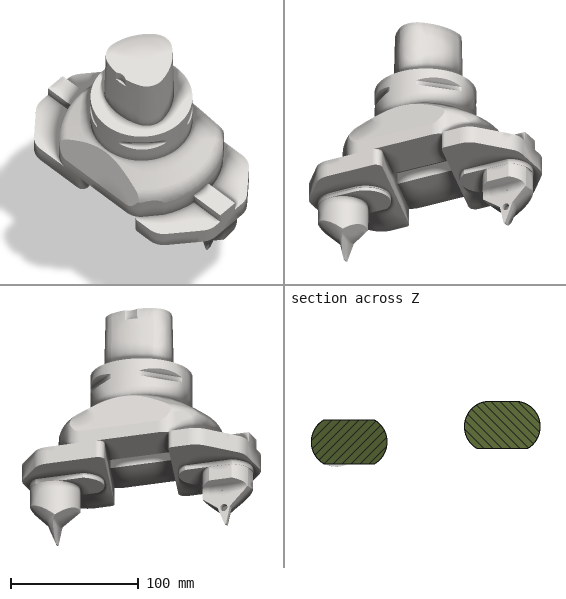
import cadquery as cq
import math


shank_length = 48.0
lobe_centre = 13.5
lobe_radius = 16.1
flank_centre = 22.0
flank_radius = lobe_radius + math.sqrt(lobe_centre**2 + flank_centre**2 + lobe_centre * flank_centre)
lobe_angles = (-30, 90, 210)
lobe_spacing = 120
shank_draft = math.degrees(math.atan(1 / 40))
shank_notch_radius = 8.0
shank_notch_depth = 2.0
shank_notch_height = 8.2

flange_radius = 40.0
flange_bottom = -30.3
gripper_level = -11.95
gripper_floor = 35.4
gripper_floor_height = 3.6
gripper_wall_angle = 30.0
gripper_first_angle = 45.0
gripper_count = 4

head_radius = 65.0
head_bottom = -70.0
head_half_width = 52.0
cone_angle = 35.0
cone_rounding = 14.0
corner_start = 40.3
corner_angle = 50.0
corner_rounding = 16.0
side_slope_top = -60.2
side_slope_angle = 20.0

key_half_width = 8.4
keyway_top = -60.6
key_top = -61.9
slide_bottom = -84.0
overall_length = 185.45
slide_end = overall_length / 2
slide_front_corner = 65.4
slide_back_corner = 67.4
slide_inner_front = 41.2
slide_inner_back = 12.4
slide_front_rounding = 4.3
slide_back_rounding = 5.5

foot_bottom = -88.0
foot_radius = 20.05
foot_inner_x = 50.2
foot_front = -11.5
shim_height = 1.1
shim_shift = 0.3
foot_trimmed_back = 23.4
barrel_radius = 19.75
barrel_x = 69.87
barrel_y = 6.0
barrel_front = -11.3
barrel_outer = 88.8
barrel_inner = barrel_x - barrel_radius
gullet_top = -99.4
gullet_angle = 15.0
gullet_rounding = 5.0
shoulder_inner_angle = 35.0
shoulder_outer_angle = 45.0
shimmed_inner_shoulder = -109.4
shimmed_outer_shoulder = -103.4
plain_inner_shoulder = -107.0
plain_outer_shoulder = -104.7
root_rounding = 4.0
relief_radius = 21.5

insert_circle = 9.525
insert_half_angle = 17.5
insert_lean = 5.0
insert_nose = 0.8
insert_thickness = 4.8
insert_clearance = 5.0
insert_hole = 5.9
support_inset = 0.35
tip_x = barrel_x
overall_height = 181.02
tip_bottom = shank_length - overall_height

reach = 200.0


def tan_deg(angle):
    return math.tan(math.radians(angle))


def polar(radius, angle):
    return cq.Vector(radius * math.cos(math.radians(angle)), radius * math.sin(math.radians(angle)))


def nearest_edge(x, y, z):
    return cq.selectors.NearestToPointSelector((x, y, z))


def four_corners(x, y):
    return [(x, y), (-x, y), (-x, -y), (x, -y)]


def round_upright_edge(solid, x, y, radius):
    """Fillet the vertical edge that stands nearest to (x, y)."""
    mid_z = solid.val().BoundingBox().center.z
    return solid.edges("|Z").edges(nearest_edge(x, y, mid_z)).fillet(radius)



def make_shank():
    centre_line = polar(lobe_centre, 0) + polar(flank_centre, lobe_spacing / 2)
    lobe_half_turn = math.degrees(math.atan2(centre_line.y, centre_line.x))
    outline = None
    for lobe_angle in lobe_angles:
        centre = polar(lobe_centre, lobe_angle)
        start, middle, end = [
            (centre + polar(lobe_radius, lobe_angle + turn)).toTuple()[:2]
            for turn in (-lobe_half_turn, 0, lobe_half_turn)
        ]
        flank_angle = lobe_angle + lobe_spacing / 2
        flank_middle = polar(flank_radius - flank_centre, flank_angle).toTuple()[:2]
        next_lobe = lobe_angle + lobe_spacing
        next_start = (
            polar(lobe_centre, next_lobe) + polar(lobe_radius, next_lobe - lobe_half_turn)
        ).toTuple()[:2]
        if outline is None:
            outline = cq.Workplane("XY").moveTo(*start)
        outline = outline.threePointArc(middle, end).threePointArc(flank_middle, next_start)
    shank = outline.close().extrude(shank_length, taper=shank_draft)

    top_flat = flank_radius - flank_centre - shank_length * tan_deg(shank_draft)
    notch = (
        cq.Workplane("XY", origin=(0, shank_notch_depth - top_flat - shank_notch_radius, shank_length))
        .circle(shank_notch_radius)
        .extrude(-shank_notch_height)
    )
    return shank.cut(notch)


def make_flange():
    flange = cq.Workplane("XY").circle(flange_radius).extrude(flange_bottom)
    floor_half = gripper_floor_height / 2
    mouth = 2 * flange_radius - gripper_floor
    mouth_half = floor_half + (mouth - gripper_floor) * tan_deg(gripper_wall_angle)
    notch = (
        cq.Workplane("XZ", origin=(0, 0, gripper_level))
        .polyline([
            (gripper_floor, -floor_half),
            (gripper_floor, floor_half),
            (mouth, mouth_half),
            (mouth, -mouth_half),
        ])
        .close()
        .extrude(flange_radius, both=True)
    )
    for index in range(gripper_count):
        angle = gripper_first_angle + index * 360 / gripper_count
        flange = flange.cut(notch.rotate((0, 0, 0), (0, 0, 1), angle))
    return flange


def make_head_bar():
    """Round bar with two flat sides and four corner flats, all corners rounded."""
    far_x = head_radius + corner_rounding
    far_y = head_half_width - (far_x - corner_start) * tan_deg(corner_angle)
    right_side = [
        (corner_start, -head_half_width),
        (far_x, -far_y),
        (far_x, far_y),
        (corner_start, head_half_width),
    ]
    left_side = [(-x, -y) for x, y in right_side]
    bar = (
        cq.Workplane("XY", origin=(0, 0, head_bottom))
        .polyline(right_side + left_side)
        .close()
        .extrude(flange_bottom - head_bottom)
    )
    for x, y in four_corners(corner_start, head_half_width):
        bar = round_upright_edge(bar, x, y, corner_rounding)

    bar = bar.intersect(cq.Workplane("XY").circle(head_radius).extrude(head_bottom))
    flat_distance = corner_start * math.sin(math.radians(corner_angle)) + head_half_width * math.cos(
        math.radians(corner_angle)
    )
    meeting_angle = 90 - corner_angle - math.degrees(math.acos(flat_distance / head_radius))
    meeting = polar(head_radius, meeting_angle)
    for x, y in four_corners(meeting.x, meeting.y):
        bar = round_upright_edge(bar, x, y, corner_rounding)
    return bar


def make_head():
    rounding_centre = head_radius - cone_rounding
    cone_end = rounding_centre + cone_rounding * math.sin(math.radians(cone_angle))
    cone_end_z = flange_bottom - (cone_end - flange_radius) * tan_deg(cone_angle)
    rounding_z = cone_end_z - cone_rounding * math.cos(math.radians(cone_angle))
    mid_angle = (90 - cone_angle) / 2
    mid_point = cq.Vector(rounding_centre, rounding_z) + polar(cone_rounding, mid_angle)
    dome = (
        cq.Workplane("XZ")
        .moveTo(0, head_bottom)
        .lineTo(head_radius, head_bottom)
        .lineTo(head_radius, rounding_z)
        .threePointArc(mid_point.toTuple()[:2], (cone_end, cone_end_z))
        .lineTo(flange_radius, flange_bottom)
        .lineTo(0, flange_bottom)
        .close()
        .revolve(360, (0, 0), (0, 1))
    )
    head = make_head_bar().intersect(dome)

    slope_inset = (flange_bottom - side_slope_top) * tan_deg(side_slope_angle)
    side_wedge = (
        cq.Workplane("YZ")
        .polyline([
            (head_half_width, side_slope_top),
            (head_half_width - slope_inset, flange_bottom),
            (head_radius, flange_bottom),
            (head_radius, side_slope_top),
        ])
        .close()
        .extrude(head_radius, both=True)
    )
    head = head.cut(side_wedge).cut(side_wedge.mirror("XZ"))
    keyway = cq.Workplane("XY", origin=(0, 0, head_bottom)).rect(2 * head_radius, 2 * key_half_width)
    return head.cut(keyway.extrude(keyway_top - head_bottom))


def make_body():
    return make_shank().union(make_flange()).union(make_head())



def make_slide():
    front_end = head_half_width - (slide_end - slide_front_corner) * tan_deg(corner_angle)
    back_end = head_half_width - (slide_end - slide_back_corner) * tan_deg(corner_angle)
    outline = [
        (slide_inner_front, -head_half_width),
        (slide_front_corner, -head_half_width),
        (slide_end, -front_end),
        (slide_end, back_end),
        (slide_back_corner, head_half_width),
        (slide_inner_back, head_half_width),
    ]
    level = cq.Workplane("XY", origin=(0, 0, slide_bottom))
    plate = level.polyline(outline).close().extrude(head_bottom - slide_bottom)
    roundings = [slide_front_rounding] + 4 * [corner_rounding] + [slide_back_rounding]
    for (x, y), rounding in zip(outline, roundings):
        plate = round_upright_edge(plate, x, y, rounding)

    key_strip = (
        cq.Workplane("XY", origin=(0, 0, head_bottom))
        .rect(2 * slide_end, 2 * key_half_width)
        .extrude(key_top - head_bottom)
    )
    key = level.polyline(outline).close().extrude(key_top - slide_bottom).intersect(key_strip)
    return plate.union(key)



def insert_corners(lean, inset=0.0):
    """Top, outer, bottom and inner sharp corners in XZ; lean tips the upper end towards the axis."""
    up = polar(1, 90 + lean)
    across = polar(1, lean)
    sine = math.sin(math.radians(insert_half_angle))
    cosine = math.cos(math.radians(insert_half_angle))
    nose_centre = cq.Vector(tip_x, tip_bottom + insert_nose)
    centre = nose_centre + up * ((insert_circle / 2 - insert_nose) / sine)
    half_length = (insert_circle / 2 - inset) / sine
    half_width = (insert_circle / 2 - inset) / cosine
    corners = [
        centre + up * half_length,
        centre + across * half_width,
        centre - up * half_length,
        centre - across * half_width,
    ]
    return [corner.toTuple()[:2] for corner in corners], centre


def make_insert_blank(lean):
    """Sharp-cornered insert that narrows towards its seat by the clearance angle."""
    front, _ = insert_corners(lean)
    seat, _ = insert_corners(lean, insert_thickness * tan_deg(insert_clearance))
    return (
        cq.Workplane("XZ")
        .polyline(front)
        .close()
        .workplane(offset=-insert_thickness)
        .polyline(seat)
        .close()
        .loft(ruled=True)
    )


def make_insert(lean):
    corners, centre = insert_corners(lean)
    outline = cq.Workplane("XZ").polyline(corners).close().extrude(-insert_thickness)
    for x, z in (corners[0], corners[2]):
        outline = outline.edges("|Y").edges(nearest_edge(x, insert_thickness / 2, z)).fillet(insert_nose)
    hole = cq.Workplane("XZ").center(centre.x, centre.y).circle(insert_hole / 2).extrude(-insert_thickness)
    return make_insert_blank(lean).intersect(outline).cut(hole)



def flank_shoulder_meeting(side, apex, flank_angle, shoulder, shoulder_angle):
    """Where the flank rising from the apex meets the shoulder line; side is +1 outer, -1 inner."""
    run = 1 / tan_deg(shoulder_angle)
    rise = (
        side * (shoulder[0] - apex[0]) - shoulder[1] * run + apex[1] * tan_deg(flank_angle)
    ) / (tan_deg(flank_angle) - run)
    return (apex[0] + side * (rise - apex[1]) * tan_deg(flank_angle), rise)


def make_support(lean, inner_shoulder, outer_shoulder):
    """Space the cartridge may fill: plane flanks inside, cones turned about a near axis outside."""
    corners, _ = insert_corners(lean, support_inset)
    apex = corners[2]
    axis_x = apex[0] - relief_radius
    inner_end = (barrel_inner, inner_shoulder)
    outer_end = (barrel_outer, outer_shoulder)
    inner_root = flank_shoulder_meeting(
        -1, apex, insert_half_angle + lean, inner_end, shoulder_inner_angle
    )
    outer_root = flank_shoulder_meeting(
        1, apex, insert_half_angle - lean, outer_end, shoulder_outer_angle
    )
    inner_space = (
        cq.Workplane("XZ")
        .polyline([
            apex,
            inner_root,
            inner_end,
            (barrel_inner, foot_bottom),
            (reach, foot_bottom),
            (reach, apex[1]),
        ])
        .close()
        .extrude(reach / 2, both=True)
    )
    inner_space = inner_space.edges("|Y").edges(nearest_edge(inner_root[0], 0, inner_root[1]))
    inner_space = inner_space.fillet(root_rounding)

    top_x = outer_end[0] + (foot_bottom - outer_shoulder) / tan_deg(shoulder_outer_angle)
    outer_space = (
        cq.Workplane("XZ")
        .polyline([(axis_x, apex[1]), apex, outer_root, (top_x, foot_bottom), (axis_x, foot_bottom)])
        .close()
        .revolve(360, (axis_x, 0), (axis_x, 1))
    )
    outer_space = outer_space.edges("%CIRCLE").edges(nearest_edge(axis_x, 0, outer_root[1]))
    return inner_space.intersect(outer_space.fillet(root_rounding))


def make_gullet():
    root_z = gullet_top + barrel_front * tan_deg(gullet_angle)
    mouth_y = 2 * barrel_front
    gullet = (
        cq.Workplane("YZ")
        .polyline([
            (0, root_z),
            (mouth_y, root_z - mouth_y * tan_deg(gullet_angle)),
            (mouth_y, -reach),
            (0, -reach),
        ])
        .close()
        .extrude(reach)
    )
    return gullet.edges("|X").edges(nearest_edge(reach / 2, 0, root_z)).fillet(gullet_rounding)


def make_foot(back, top, height):
    """Slot-shaped pad around the barrel, trimmed straight along its front and back."""
    level = cq.Workplane("XY", origin=(0, 0, top))
    span = barrel_x - foot_inner_x
    pad = (
        level.center(barrel_x - span / 2, barrel_y)
        .slot2D(span + 2 * foot_radius, 2 * foot_radius)
        .extrude(-height)
    )
    strip = level.center(0, foot_front).rect(reach, back - foot_front, centered=False).extrude(-height)
    return pad.intersect(strip)


def make_cartridge(lean, inner_shoulder, outer_shoulder, foot_back, has_shim):
    barrel = (
        cq.Workplane("XY", origin=(barrel_x, barrel_y, foot_bottom))
        .circle(barrel_radius)
        .extrude(-reach)
    )
    flats = (
        cq.Workplane("XY", origin=(barrel_outer, barrel_front, foot_bottom))
        .rect(-reach, reach, centered=False)
        .extrude(-reach)
    )
    barrel = barrel.intersect(flats).cut(make_gullet())
    barrel = barrel.intersect(make_support(lean, inner_shoulder, outer_shoulder))

    front, _ = insert_corners(lean)
    seat_mouth = cq.Workplane("XZ").polyline(front).close().extrude(reach)
    below_side_corners = (
        cq.Workplane("XY", origin=(tip_x, insert_thickness - reach / 2, min(front[1][1], front[3][1])))
        .rect(reach, reach)
        .extrude(-reach)
    )
    barrel = barrel.cut(make_insert_blank(lean)).cut(seat_mouth).cut(below_side_corners)

    height = slide_bottom - foot_bottom
    if has_shim:
        foot = make_foot(foot_back, slide_bottom - shim_height, height - shim_height)
        shim = make_foot(foot_back, slide_bottom, shim_height)
        foot = foot.union(shim.translate((-shim_shift, shim_shift, 0)))
    else:
        foot = make_foot(foot_back, slide_bottom, height)
    return foot.union(barrel)


def turned(part):
    """The same part on the opposite side of the tool."""
    return part.rotate((0, 0, 0), (0, 0, 1), 180)


body = make_body()
slides = [make_slide(), turned(make_slide())]
shimmed_cartridge = make_cartridge(
    insert_lean, shimmed_inner_shoulder, shimmed_outer_shoulder, barrel_y + foot_radius, True
)
plain_cartridge = turned(
    make_cartridge(-insert_lean, plain_inner_shoulder, plain_outer_shoulder, foot_trimmed_back, False)
)
inserts = [make_insert(insert_lean), turned(make_insert(-insert_lean))]

result = cq.Compound.makeCompound([
    body.val(),
    *[slide.val() for slide in slides],
    shimmed_cartridge.val(),
    plain_cartridge.val(),
    *[insert.val() for insert in inserts],
])